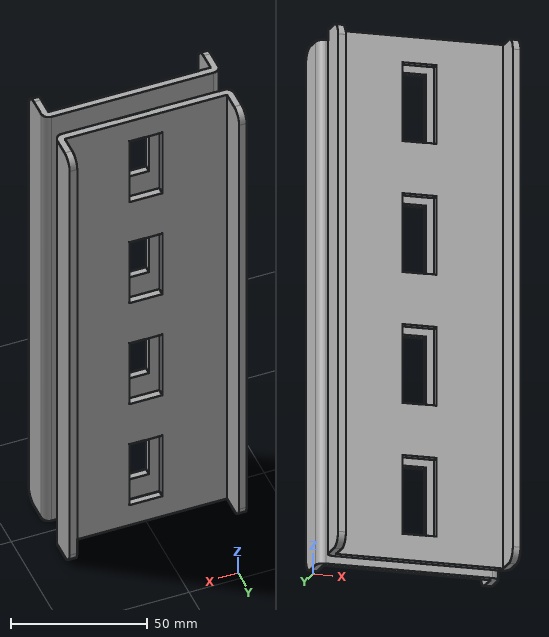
import cadquery as cq

length = 200.0
width = 70.0
depth = 40.0
gap = 10.0
channel_depth = (depth - gap) / 2
thickness = 3.0

bend_radius = thickness
end_corner_radius = 5.0

slot_count = 4
slot_pitch = length / slot_count
slot_width = 13.0
slot_height = 30.0


def channel_blank():
    """U channel with its web at Y = gap / 2 and its flanges pointing to +Y."""
    web_back = gap / 2
    blank = (
        cq.Workplane("XY")
        .box(width, channel_depth, length, centered=(True, False, True))
        .translate((0, web_back, 0))
        .edges("|Z and <Y")
        .fillet(bend_radius)
    )
    inside = (
        cq.Workplane("XY")
        .box(width - 2 * thickness, channel_depth, length, centered=(True, False, True))
        .translate((0, web_back + thickness, 0))
    )
    return blank.cut(inside)


def web_slots():
    """Cutters for the evenly spaced slots."""
    return (
        cq.Workplane("XZ")
        .rarray(2, slot_pitch, 1, slot_count)
        .rect(slot_width, slot_height)
        .extrude(depth, both=True)
    )


def slotted_channel():
    """One channel with rounded flange ends and a slotted web."""
    rounded = channel_blank().edges("|X and >Y and (>Z or <Z)").fillet(end_corner_radius)
    return rounded.cut(web_slots())


channels = []
for turn in (0, 180):
    channels.append(slotted_channel().rotate((0, 0, 0), (0, 0, 1), turn).val())

result = cq.Compound.makeCompound(channels)